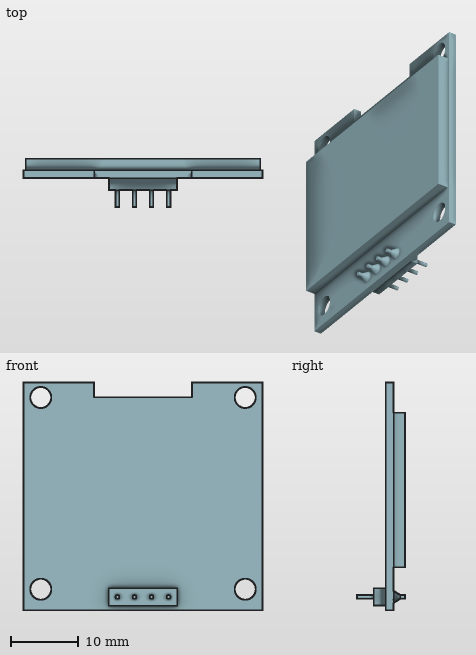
import cadquery as cq

board_width = 35.7
board_height = 34.0
board_thickness = 1.2
notch_width = 14.6
notch_depth = 2.2

hole_diameter = 3.1
hole_spacing_x = 30.5
hole_top_margin = 2.25
hole_bottom_margin = 3.15

display_width = 35.0
display_height = 23.1
display_thickness = 1.7
display_top_margin = 4.5

pin_count = 4
pin_pitch = 2.54
pin_diameter = 0.59
pin_length = 2.5
pin_height = 2.0
header_width = pin_count * pin_pitch
header_height = 2.6
header_depth = 1.8

solder_diameter = 1.8
solder_length = 0.95
tail_length = display_thickness


def box_between(width, y_start, y_end, z_bottom, z_top):
    """Box centred on X = 0, spanning the given Y and Z ranges."""
    return cq.Workplane("XY").box(
        width, y_end - y_start, z_top - z_bottom, centered=(True, False, False)
    ).translate((0, y_start, z_bottom))


def make_plate():
    """Board plate with the notch in its top edge and the four mounting holes."""
    plate = box_between(board_width, 0, board_thickness, 0, board_height)
    notch = box_between(
        notch_width, 0, board_thickness, board_height - notch_depth, board_height
    )
    hole_centres = [
        (x, z)
        for x in (-hole_spacing_x / 2, hole_spacing_x / 2)
        for z in (hole_bottom_margin, board_height - hole_top_margin)
    ]
    holes = (
        cq.Workplane("XZ")
        .pushPoints(hole_centres)
        .circle(hole_diameter / 2)
        .extrude(-board_thickness)
    )
    return plate.cut(notch).cut(holes)


def make_pin(x):
    """Pin along Y with its solder cone, revolved about the pin axis."""
    pin_radius = pin_diameter / 2
    front_end = -header_depth - pin_length
    tail_end = board_thickness + tail_length
    return (
        cq.Workplane("XY")
        .moveTo(0, front_end)
        .lineTo(pin_radius, front_end)
        .lineTo(pin_radius, board_thickness)
        .lineTo(solder_diameter / 2, board_thickness)
        .lineTo(pin_radius, board_thickness + solder_length)
        .lineTo(pin_radius, tail_end)
        .lineTo(0, tail_end)
        .close()
        .revolve(360, (0, 0, 0), (0, 1, 0))
        .translate((x, 0, pin_height))
    )


def make_board():
    """Board with its header block and soldered pins, all one solid."""
    header = box_between(
        header_width,
        -header_depth,
        0,
        pin_height - header_height / 2,
        pin_height + header_height / 2,
    )
    assembly = make_plate().union(header)
    for index in range(pin_count):
        x = (index - (pin_count - 1) / 2) * pin_pitch
        assembly = assembly.union(make_pin(x))
    return assembly


def make_display():
    """Plain display panel lying against the +Y face of the board."""
    display_top = board_height - display_top_margin
    return box_between(
        display_width,
        board_thickness,
        board_thickness + display_thickness,
        display_top - display_height,
        display_top,
    )


board = make_board()
display = make_display()

result = cq.Compound.makeCompound([board.val(), display.val()])